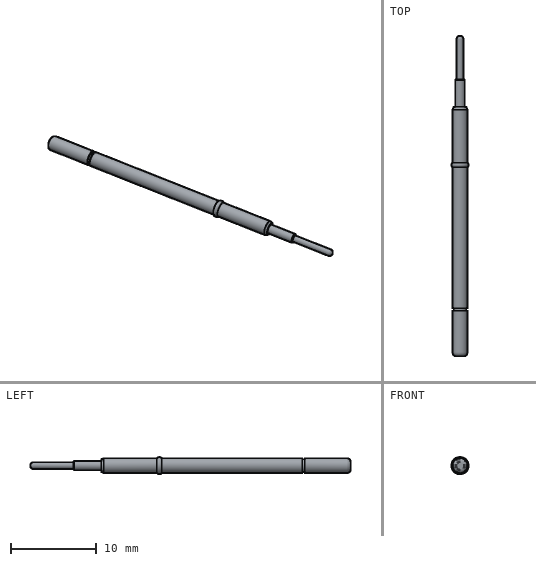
import cadquery as cq
import math

total_length = 37.3
groove_center = 5.5
groove_width = 0.3
collar_center = 22.25
collar_width = 0.55
barrel_length = 29.02
sleeve_length = 32.25
plunger_start = 26.1

barrel_diameter = 1.75
collar_diameter = 2.0
groove_diameter = 1.5
mouth_diameter = 1.5
sleeve_diameter = 1.12
plunger_diameter = 0.82

rear_radius = 0.45
mouth_length = 0.3
tip_length = 0.37
sleeve_chamfer = 0.1

barrel_radius = barrel_diameter / 2
mouth_radius = mouth_diameter / 2
sleeve_radius = sleeve_diameter / 2
plunger_radius = plunger_diameter / 2


def make_barrel():
    """Crimped barrel with a rounded rear end and a chamfered front mouth."""
    barrel = cq.Workplane("XZ").circle(barrel_radius).extrude(-barrel_length)
    barrel = barrel.faces("<Y").edges().fillet(rear_radius)
    return barrel.faces(">Y").edges().chamfer(mouth_length, barrel_radius - mouth_radius)


def make_collar():
    """Press ring with a convex arc profile, revolved about the Y axis."""
    half_width = collar_width / 2
    return (
        cq.Workplane("XY")
        .moveTo(0, collar_center - half_width)
        .lineTo(barrel_radius, collar_center - half_width)
        .threePointArc(
            (collar_diameter / 2, collar_center),
            (barrel_radius, collar_center + half_width),
        )
        .lineTo(0, collar_center + half_width)
        .close()
        .revolve(360, (0, 0, 0), (0, 1, 0))
    )


def make_groove():
    """Ring of material removed around the barrel."""
    return (
        cq.Workplane("XZ", origin=(0, groove_center - groove_width / 2, 0))
        .circle(collar_diameter / 2)
        .circle(groove_diameter / 2)
        .extrude(-groove_width)
    )


def make_plunger():
    """Stepped plunger: chamfered sleeve and a thin shaft with a domed tip."""
    sleeve = cq.Workplane("XZ", origin=(0, plunger_start, 0))
    sleeve = sleeve.circle(sleeve_radius).extrude(plunger_start - sleeve_length)
    sleeve = sleeve.faces(">Y").edges().chamfer(sleeve_chamfer)
    dome_base = total_length - tip_length
    dome_radius = (plunger_radius**2 + tip_length**2) / (2 * tip_length)
    dome_center = total_length - dome_radius
    diagonal = dome_radius * math.sqrt(0.5)
    shaft = (
        cq.Workplane("XY")
        .moveTo(0, plunger_start)
        .lineTo(plunger_radius, plunger_start)
        .lineTo(plunger_radius, dome_base)
        .threePointArc((diagonal, dome_center + diagonal), (0, total_length))
        .close()
        .revolve(360, (0, 0, 0), (0, 1, 0))
    )
    return sleeve.union(shaft)


result = make_barrel().union(make_collar()).cut(make_groove()).union(make_plunger())